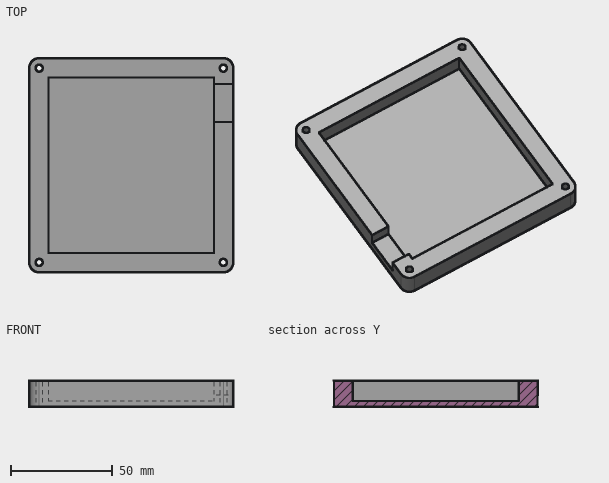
import cadquery as cq

width = 101.0
length = 106.0
height = 13.0
corner_radius = 5.0

wall = 9.5
floor_thickness = 3.0

slot_width = 19.0
slot_end_gap = 12.7
slot_depth = 7.1

hole_diameter = 3.4

body = (
    cq.Workplane("XY")
    .box(width, length, height, centered=(True, True, False))
    .edges("|Z")
    .fillet(corner_radius)
)

pocket = (
    cq.Workplane("XY")
    .workplane(offset=floor_thickness)
    .rect(width - 2 * wall, length - 2 * wall)
    .extrude(height - floor_thickness)
)

wall_slot = cq.Workplane("XY").box(wall, slot_width, slot_depth, centered=False).translate(
    (width / 2 - wall, length / 2 - slot_end_gap - slot_width, height - slot_depth)
)

screw_holes = (
    cq.Workplane("XY")
    .rect(width - 2 * corner_radius, length - 2 * corner_radius, forConstruction=True)
    .vertices()
    .circle(hole_diameter / 2)
    .extrude(height)
)

result = body.cut(pocket).cut(wall_slot).cut(screw_holes)